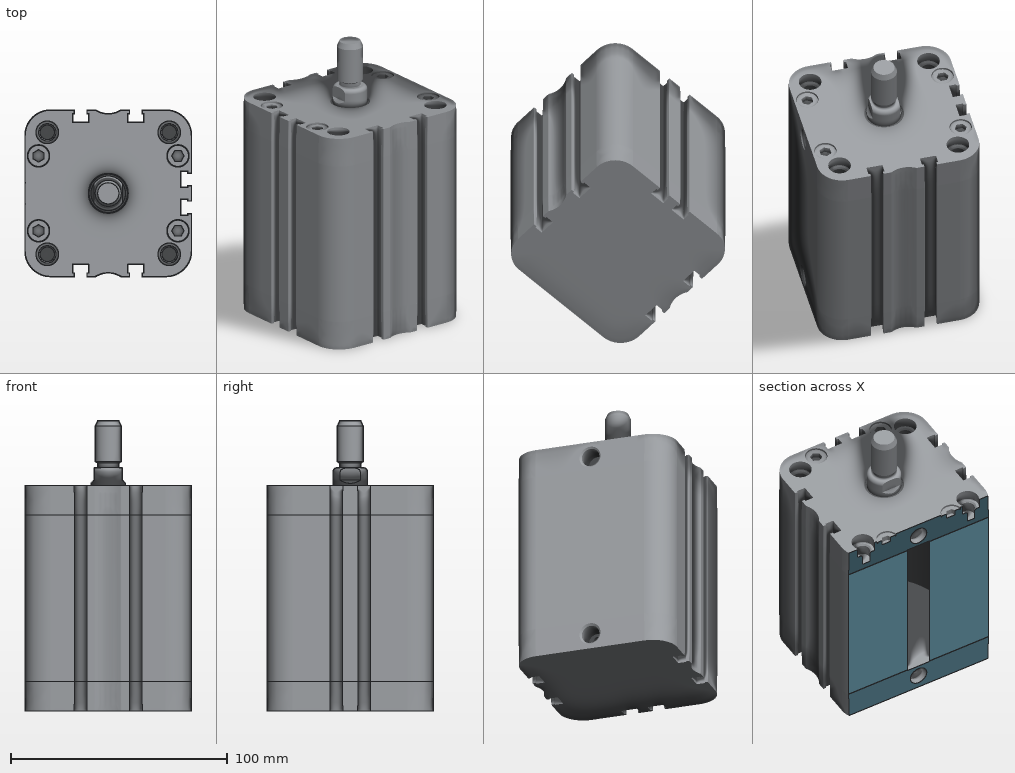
import cadquery as cq
import math

overall_height = 134
side = 77.0
body_height = 104.1
cap_height = 13.7
corner_radius = 11.9
cap_draft = 0.8
bore_diameter = 63
half_side = side / 2
cut_margin = 1.3
barrel_height = body_height - 2 * cap_height
front_cap_base = body_height - cap_height

slot_neck_width = 5.6
slot_neck_depth = 1.9
slot_width = 7.2
slot_depth = 5.6
side_slot_depth = 5.0
slot_lip_radius = 0.3
wide_slot_offset = 12.7
narrow_slot_offset = 6.4
flute_width = 11.8
flute_depth = 1.7
flute_edge_radius = 1.1

port_diameter = 8.6
port_mouth_diameter = 10.5
port_depth = 10.7
port_inset = 7.4
air_hole_diameter = 4
air_hole_shift = 0.8
air_hole_depth = 5.4

mount_spacing = 56.3
mount_recess_diameter = 10.5
mount_recess_depth = 5.0
mount_mouth_diameter = 8
mount_hole_diameter = 6.7
mount_hole_depth = 10.7
screw_spacing_x = 64.3
screw_spacing_y = 34.6
screw_recess_diameter = 10.3
screw_recess_depth = 0.7
screw_head_diameter = 9.8
screw_gap_depth = 1.3
hex_across_flats = 5.0
hex_across_corners = hex_across_flats / math.cos(math.radians(30))
hex_depth = 3.4

rod_diameter = 16.0
rod_shoulder = 112.3
rod_fillet = 1.9
rod_flats = 13.0
flats_base = 106.5
flats_runout = (rod_diameter - rod_flats) / 2
thread_diameter = 12
thread_base = 115.1
neck_diameter = 9.8
thread_tip_diameter = 9.8
thread_tip_length = 2.5
neck_cone = 0.7
neck_fillet = 0.4

rod_recess_diameter = 17.7
rod_recess_depth = 0.7
rod_recess_bevel = 0.4


def slot_cutter(x, depth, outward_angle):
    """Undercut slot at x on the -Y side, turned about Z by outward_angle."""
    y = -half_side
    neck = cq.Workplane("XY").center(x, y).rect(slot_neck_width, 2 * slot_neck_depth)
    groove_depth = depth - slot_neck_depth
    groove_y = y + slot_neck_depth + groove_depth / 2
    groove = cq.Workplane("XY").center(x, groove_y).rect(slot_width, groove_depth)
    cutter = neck.extrude(body_height).union(groove.extrude(body_height))
    return cutter.rotate((0, 0, 0), (0, 0, 1), outward_angle)


def flute_cutter(outward_angle):
    """Shallow arc-shaped flute in the middle of the -Y side, turned about Z."""
    y = -half_side
    flute = (
        cq.Workplane("XY")
        .moveTo(-flute_width / 2, y)
        .threePointArc((0, y + flute_depth), (flute_width / 2, y))
        .lineTo(flute_width / 2, y - cut_margin)
        .lineTo(-flute_width / 2, y - cut_margin)
        .close()
        .extrude(body_height)
    )
    return flute.rotate((0, 0, 0), (0, 0, 1), outward_angle)


def round_edges(block, x_positions, radius, outward_angle):
    """Round vertical edges of the -Y side at the given x positions, with that side turned about Z."""
    block = block.rotate((0, 0, 0), (0, 0, 1), -outward_angle)
    for x in x_positions:
        edge = cq.selectors.NearestToPointSelector((x, -half_side, body_height / 2))
        block = block.edges("|Z").edges(edge).fillet(radius)
    return block.rotate((0, 0, 0), (0, 0, 1), outward_angle)


def slot_lips(offset):
    """X positions of the mouth edges of a pair of slots at +offset and -offset."""
    return [slot + lip for slot in (-offset, offset) for lip in (-slot_neck_width / 2, slot_neck_width / 2)]


def cut_profile(block):
    """Cut the slots and flutes that run the whole length of the cylinder."""
    for angle in (0, 180):
        for x in (-wide_slot_offset, wide_slot_offset):
            block = block.cut(slot_cutter(x, slot_depth, angle))
        block = block.cut(flute_cutter(angle))
        block = round_edges(block, slot_lips(wide_slot_offset), slot_lip_radius, angle)
        block = round_edges(block, (-flute_width / 2, flute_width / 2), flute_edge_radius, angle)
    for x in (-narrow_slot_offset, narrow_slot_offset):
        block = block.cut(slot_cutter(x, side_slot_depth, 90))
    return round_edges(block, slot_lips(narrow_slot_offset), slot_lip_radius, 90)


def make_prism(base, height, draft=0):
    """Slotted and fluted prism from the given base height; draft narrows it towards its far end."""
    square = cq.Workplane("XY").rect(side, side).extrude(body_height).edges("|Z").fillet(corner_radius)
    section = cut_profile(square).faces("<Z").wires().val().translate(cq.Vector(0, 0, base))
    return cq.Workplane("XY").add(section).toPending().extrude(height, taper=draft)


def port_cutter(z):
    """Chamfered blind port drilled into the -X side at height z."""
    mouth = (port_mouth_diameter - port_diameter) / 2
    port_radius = port_diameter / 2
    profile = (
        cq.Workplane("XY")
        .moveTo(-half_side - cut_margin, 0)
        .lineTo(-half_side - cut_margin, port_radius + mouth)
        .lineTo(-half_side, port_radius + mouth)
        .lineTo(-half_side + mouth, port_radius)
        .lineTo(-half_side + port_depth, port_radius)
        .lineTo(-half_side + port_depth, 0)
        .close()
    )
    return profile.revolve(360, (0, 0, 0), (1, 0, 0)).translate((0, 0, z))


def make_barrel():
    barrel = make_prism(cap_height, barrel_height)
    bore = cq.Workplane("XY").workplane(offset=cap_height).circle(bore_diameter / 2).extrude(barrel_height)
    return barrel.cut(bore)


def make_rear_cap():
    cap = make_prism(cap_height, -cap_height, cap_draft)
    air_hole = (
        cq.Workplane("YZ")
        .workplane(offset=-half_side)
        .center(0, port_inset + air_hole_shift)
        .circle(air_hole_diameter / 2)
        .extrude(port_depth + air_hole_depth)
    )
    return cap.cut(port_cutter(port_inset)).cut(air_hole)


def cut_mounting_holes(cap):
    """Recessed, countersunk blind holes in the four corners."""
    face = cq.Workplane("XY").workplane(offset=body_height)
    corners = face.rect(mount_spacing, mount_spacing, forConstruction=True).vertices()
    cap = cap.cut(corners.circle(mount_recess_diameter / 2).extrude(-mount_recess_depth))
    cap = cap.cut(corners.circle(mount_hole_diameter / 2).extrude(-mount_hole_depth))
    recess_floor = cq.Workplane("XY").workplane(offset=body_height - mount_recess_depth)
    countersink_depth = (mount_mouth_diameter - mount_hole_diameter) / 2
    countersinks = (
        recess_floor.rect(mount_spacing, mount_spacing, forConstruction=True)
        .vertices()
        .circle(mount_mouth_diameter / 2)
        .extrude(-countersink_depth, taper=45)
    )
    return cap.cut(countersinks)


def cut_screws(cap):
    """Sunken screw heads with hexagon sockets near the -X and +X sides."""
    recess = cq.Workplane("XY").circle(screw_recess_diameter / 2).extrude(-screw_recess_depth)
    gap = (
        cq.Workplane("XY")
        .circle(screw_recess_diameter / 2)
        .circle(screw_head_diameter / 2)
        .extrude(-screw_gap_depth)
    )
    socket = cq.Workplane("XY").polygon(6, hex_across_corners).extrude(-hex_depth)
    for side_sign, hex_turn in ((-1, 90), (1, 0)):
        turned_socket = socket.rotate((0, 0, 0), (0, 0, 1), hex_turn)
        screw_cutter = recess.union(gap).union(turned_socket)
        for y in (-screw_spacing_y / 2, screw_spacing_y / 2):
            cap = cap.cut(screw_cutter.translate((side_sign * screw_spacing_x / 2, y, body_height)))
    return cap


def make_front_cap():
    cap = make_prism(front_cap_base, cap_height, cap_draft)
    cap = cap.cut(port_cutter(body_height - port_inset))
    cap = cut_mounting_holes(cap)
    cap = cut_screws(cap)
    face = cq.Workplane("XY").workplane(offset=body_height)
    cap = cap.cut(face.circle(rod_diameter / 2).extrude(-cap_height))
    cap = cap.cut(face.circle(rod_recess_diameter / 2).extrude(-rod_recess_depth))
    bevel_radius = rod_recess_diameter / 2 + rod_recess_bevel
    return cap.cut(face.circle(bevel_radius).extrude(-rod_recess_bevel, taper=45))


def make_rod():
    """Rod standing on the rear cap, with wrench flats and a thread stub above."""
    rod = (
        cq.Workplane("XZ")
        .moveTo(0, cap_height)
        .lineTo(rod_diameter / 2, cap_height)
        .lineTo(rod_diameter / 2, rod_shoulder - rod_fillet)
        .radiusArc((rod_diameter / 2 - rod_fillet, rod_shoulder), -rod_fillet)
        .lineTo(neck_diameter / 2 + neck_fillet, rod_shoulder)
        .radiusArc((neck_diameter / 2, rod_shoulder + neck_fillet), neck_fillet)
        .lineTo(neck_diameter / 2, thread_base - neck_cone)
        .lineTo(thread_diameter / 2, thread_base)
        .lineTo(thread_diameter / 2, overall_height - thread_tip_length)
        .lineTo(thread_tip_diameter / 2, overall_height)
        .lineTo(0, overall_height)
        .close()
        .revolve(360, (0, 0, 0), (0, 1, 0))
    )
    flat_cut = (
        cq.Workplane("XZ")
        .moveTo(rod_flats / 2, rod_shoulder)
        .lineTo(rod_flats / 2, flats_base)
        .lineTo(rod_diameter / 2, flats_base - flats_runout)
        .lineTo(rod_diameter / 2, rod_shoulder)
        .close()
        .extrude(rod_diameter / 2, both=True)
    )
    return rod.cut(flat_cut).cut(flat_cut.mirror("YZ"))


barrel = make_barrel()
rear_cap = make_rear_cap()
front_cap = make_front_cap()
rod = make_rod()

result = cq.Compound.makeCompound([barrel.val(), rear_cap.val(), front_cap.val(), rod.val()])